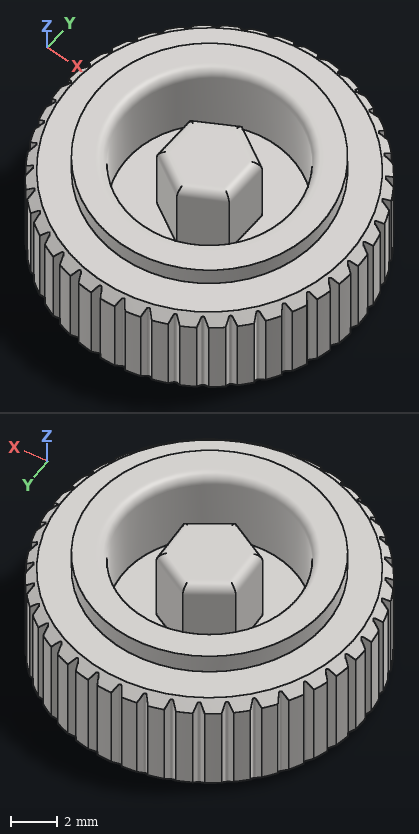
import cadquery as cq
import math

overall_width = 15.99
total_height = 6.5
collar_diameter = 12.0
collar_height = 1.0
body_height = total_height - collar_height
edge_size = 0.5

bore_diameter = 8.9
bore_depth = 4.0
hex_across_flats = 4.0

groove_count = 40
groove_depth = 0.35
groove_root_radius = 0.1
groove_half_angle = math.radians(30)
groove_overshoot = 0.16

groove_root_x = overall_width / 2 - groove_depth
tangent_x = groove_root_x + groove_root_radius * (1 - math.sin(groove_half_angle))
tangent_y = groove_root_radius * math.cos(groove_half_angle)


def groove_half_width(x):
    """Half the width of the groove on the X axis, at distance x from the centre."""
    return tangent_y + (x - tangent_x) * math.tan(groove_half_angle)


outer_radius = math.hypot(overall_width / 2, groove_half_width(overall_width / 2))


def make_body():
    """Chamfered wheel with a plain collar on top."""
    wheel = (
        cq.Workplane("XY")
        .circle(outer_radius)
        .extrude(body_height)
        .edges()
        .chamfer(edge_size)
    )
    return wheel.faces(">Z").workplane().circle(collar_diameter / 2).extrude(collar_height)


def make_bore():
    """Cutter for the blind bore, flaring out to a rounded rim at the top."""
    bore_radius = bore_diameter / 2
    rim_radius = bore_radius + edge_size
    arc_step = edge_size * math.sqrt(0.5)
    rim_middle = (rim_radius - arc_step, total_height - edge_size + arc_step)
    return (
        cq.Workplane("XZ")
        .moveTo(0, total_height - bore_depth)
        .lineTo(bore_radius, total_height - bore_depth)
        .lineTo(bore_radius, total_height - edge_size)
        .threePointArc(rim_middle, (rim_radius, total_height))
        .lineTo(0, total_height)
        .close()
        .revolve(360, (0, 0), (0, 1))
    )


def make_hex_post():
    """Hexagonal post with corners on the Y axis and a rounded top edge."""
    across_corners = hex_across_flats / math.cos(math.radians(30))
    return (
        cq.Workplane("XY", origin=(0, 0, total_height - bore_depth))
        .transformed(rotate=(0, 0, 90))
        .polygon(6, across_corners)
        .extrude(bore_depth)
        .faces(">Z")
        .edges()
        .fillet(edge_size)
    )


def make_groove():
    """Cutter for one groove on the +X side."""
    mouth_x = outer_radius + groove_overshoot
    mouth_y = groove_half_width(mouth_x)
    return (
        cq.Workplane("XY")
        .moveTo(mouth_x, -mouth_y)
        .lineTo(tangent_x, -tangent_y)
        .threePointArc((groove_root_x, 0), (tangent_x, tangent_y))
        .lineTo(mouth_x, mouth_y)
        .close()
        .extrude(body_height)
    )


def make_grooves():
    """All the grip groove cutters, evenly spaced around the rim."""
    groove = make_groove().val()
    axis_start = cq.Vector(0, 0, 0)
    axis_end = cq.Vector(0, 0, 1)
    pitch_angle = 360 / groove_count
    cutters = [groove.rotate(axis_start, axis_end, index * pitch_angle) for index in range(groove_count)]
    return cq.Workplane(cq.Compound.makeCompound(cutters))


result = make_body().cut(make_bore()).union(make_hex_post()).cut(make_grooves())